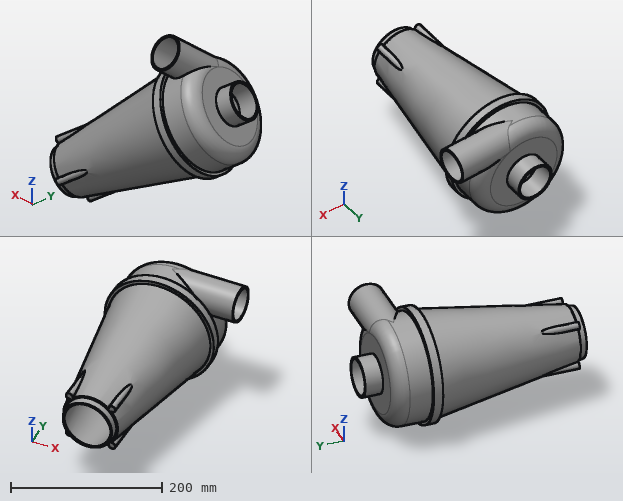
import cadquery as cq
import math


body_radius = 75.0
cone_end_radius = 40.0
cone_length = 210.0
lip_length = 10.0
lip_step = 2.3
lip_wall = 2.4
cap_length = 65.0
cap_fillet = 20.0
cap_wall = 4.5
flange_radius = 80.0
flange_thickness = 13.0
outlet_bore_radius = 25.0
outlet_wall = 2.5
outlet_length = 25.0
inlet_radius = 25.0
inlet_wall = 2.5
inlet_length = 100.0
post_radius = 5.0
post_circle_radius = 44.0
post_count = 4
post_start_angle = 45.0

cone_start_y = lip_length
cone_top_y = cone_start_y + cone_length
cap_back_y = cone_top_y + cap_length
outlet_end_y = cap_back_y + outlet_length

cone_slope = (body_radius - cone_end_radius) / cone_length
cone_angle = math.atan(cone_slope)
lip_base_radius = cone_end_radius - lip_step
lip_tip_radius = lip_base_radius - lip_length * cone_slope

rim_inner_radius = lip_tip_radius - lip_wall * math.cos(cone_angle)
rim_inner_y = lip_wall * math.sin(cone_angle)
cavity_top_radius = rim_inner_radius + (cone_top_y - rim_inner_y) * cone_slope

inlet_center_y = cap_back_y - inlet_radius
inlet_center_z = body_radius - inlet_radius


def revolve_about_y(profile):
    return profile.close().revolve(360, (0, 0, 0), (0, 1, 0))


def cylinder_along_y(radius, start_y, length, x=0.0, z=0.0):
    return cq.Workplane(cq.Solid.makeCylinder(radius, length, cq.Vector(x, start_y, z), cq.Vector(0, 1, 0)))


def inlet_cylinder(radius):
    start = cq.Vector(0, inlet_center_y, inlet_center_z)
    return cq.Workplane(cq.Solid.makeCylinder(radius, inlet_length, start, cq.Vector(1, 0, 0)))


def make_outer_body():
    """Spigot, cone and round-cornered cap as one solid of revolution."""
    corner_mid = cap_fillet * (1 - math.sqrt(0.5))
    profile = (
        cq.Workplane("XY")
        .moveTo(0, 0)
        .lineTo(lip_tip_radius, 0)
        .lineTo(lip_base_radius, cone_start_y)
        .lineTo(cone_end_radius, cone_start_y)
        .lineTo(body_radius, cone_top_y)
        .lineTo(body_radius, cap_back_y - cap_fillet)
        .threePointArc(
            (body_radius - corner_mid, cap_back_y - corner_mid),
            (body_radius - cap_fillet, cap_back_y),
        )
        .lineTo(0, cap_back_y)
    )
    return revolve_about_y(profile)


def make_cavity():
    """Hollow of the cone and cap, open at the slanted rim of the spigot."""
    inner_fillet = cap_fillet - cap_wall
    corner_mid = inner_fillet * (1 - math.sqrt(0.5))
    ceiling_y = cap_back_y - cap_wall
    profile = (
        cq.Workplane("XY")
        .moveTo(0, 0)
        .lineTo(lip_tip_radius, 0)
        .lineTo(rim_inner_radius, rim_inner_y)
        .lineTo(cavity_top_radius, cone_top_y)
        .lineTo(cavity_top_radius, ceiling_y - inner_fillet)
        .threePointArc(
            (cavity_top_radius - corner_mid, ceiling_y - corner_mid),
            (cavity_top_radius - inner_fillet, ceiling_y),
        )
        .lineTo(0, ceiling_y)
    )
    return revolve_about_y(profile)


def make_posts():
    """Round posts that start at the cone's narrow end and run out into its surface."""
    length = (post_circle_radius + post_radius - cone_end_radius) / cone_slope
    posts = cq.Workplane("XY")
    for index in range(post_count):
        angle = math.radians(post_start_angle + index * 360.0 / post_count)
        x = post_circle_radius * math.cos(angle)
        z = post_circle_radius * math.sin(angle)
        posts = posts.add(cylinder_along_y(post_radius, cone_start_y, length, x, z))
    return posts.combine()


outer = make_outer_body()
outer = outer.union(cylinder_along_y(flange_radius, cone_top_y, flange_thickness))
outer = outer.union(cylinder_along_y(outlet_bore_radius + outlet_wall, cap_back_y, outlet_length))
outer = outer.union(make_posts())

body = outer.cut(make_cavity())
body = body.union(inlet_cylinder(inlet_radius))
body = body.cut(inlet_cylinder(inlet_radius - inlet_wall))
result = body.cut(cylinder_along_y(outlet_bore_radius, cone_top_y, outlet_end_y - cone_top_y))